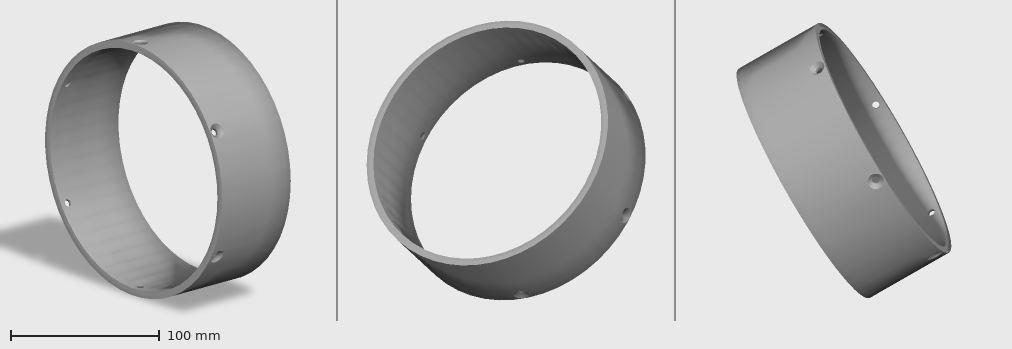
import cadquery as cq
import math

outer_diameter = 177.6
inner_diameter = 167.7
ring_width = 62.0

hole_count = 6
first_hole_angle = 30.0
hole_diameter = 5.0
countersink_diameter = 11.0
countersink_angle = 90.0
hole_setback = 6.0

outer_radius = outer_diameter / 2
half_angle = math.radians(countersink_angle / 2)
countersink_depth = (countersink_diameter - hole_diameter) / 2 / math.tan(half_angle)


def make_ring():
    """Plain tube extruded from the front face toward +Y."""
    profile = cq.Workplane("XZ").circle(outer_radius).circle(inner_diameter / 2)
    return profile.extrude(-ring_width)


def cut_screw_hole(ring, angle):
    """Cut one countersunk hole through the wall, at an angle from +X about the ring axis."""
    hole_plane = cq.Workplane("XY", origin=(0, hole_setback, 0))
    shank = hole_plane.circle(hole_diameter / 2).extrude(outer_radius)
    countersink = cq.Workplane(
        cq.Solid.makeCone(
            countersink_diameter / 2,
            hole_diameter / 2,
            countersink_depth,
            pnt=cq.Vector(0, hole_setback, outer_radius),
            dir=cq.Vector(0, 0, -1),
        )
    )
    cutter = shank.union(countersink)
    turn_from_top = 90.0 - angle
    return ring.cut(cutter.rotate((0, 0, 0), (0, 1, 0), turn_from_top))


result = make_ring()
for index in range(hole_count):
    result = cut_screw_hole(result, first_hole_angle + index * 360.0 / hole_count)